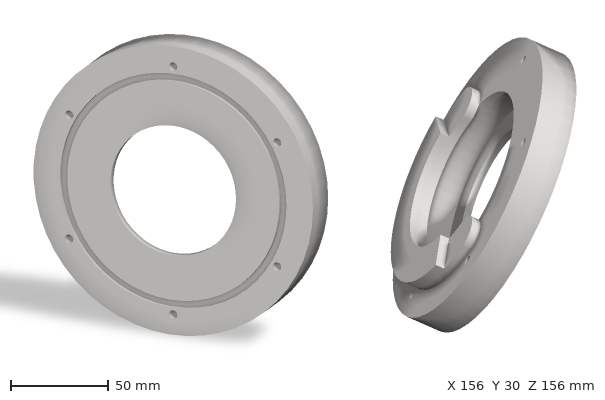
import cadquery as cq
import math

DISC_DIAMETER = 156.0
DISC_THICKNESS = 20.0
BORE_DIAMETER = 70.0
LIP_THICKNESS = 4.0
CAVITY_DIAMETER = 96.0

GROOVE_OUTER_DIAMETER = 126.4
GROOVE_INNER_DIAMETER = 118.4
GROOVE_DEPTH = 2.0

HOLE_DIAMETER = 4.5
HOLE_CIRCLE_DIAMETER = 134.0
HOLE_COUNT = 6
FIRST_HOLE_ANGLE = 90

RING_OUTER_DIAMETER = 125.0
RING_INNER_DIAMETER = 85.0
RING_HEIGHT = 10.0
LOW_STEP_HEIGHT = RING_HEIGHT / 2
LOW_END_ANGLE = 93.8
HIGH_END_ANGLE = 75.5

RING_OUTER_RADIUS = RING_OUTER_DIAMETER / 2
RING_INNER_RADIUS = RING_INNER_DIAMETER / 2
RING_WIDTH = RING_OUTER_RADIUS - RING_INNER_RADIUS
RING_MIDDLE_RADIUS = (RING_OUTER_RADIUS + RING_INNER_RADIUS) / 2


def plane_at(y):
    """XZ plane at the given Y, with local axes X and Z and extrusion toward +Y."""
    return cq.Workplane(cq.Plane(origin=(0, y, 0), xDir=(1, 0, 0), normal=(0, 1, 0)))


def polar(radius, angle):
    """Point at a radius and an angle in degrees from local +X."""
    return radius * math.cos(math.radians(angle)), radius * math.sin(math.radians(angle))


def make_housing():
    disc = plane_at(0).circle(DISC_DIAMETER / 2).extrude(DISC_THICKNESS)
    bore = plane_at(0).circle(BORE_DIAMETER / 2).extrude(DISC_THICKNESS)
    cavity_depth = DISC_THICKNESS - LIP_THICKNESS
    cavity = plane_at(LIP_THICKNESS).circle(CAVITY_DIAMETER / 2).extrude(cavity_depth)
    groove = (
        plane_at(0)
        .circle(GROOVE_OUTER_DIAMETER / 2)
        .circle(GROOVE_INNER_DIAMETER / 2)
        .extrude(GROOVE_DEPTH)
    )
    holes = (
        plane_at(0)
        .polarArray(HOLE_CIRCLE_DIAMETER / 2, FIRST_HOLE_ANGLE, 360, HOLE_COUNT)
        .circle(HOLE_DIAMETER / 2)
        .extrude(DISC_THICKNESS)
    )
    return disc.cut(bore).cut(cavity).cut(groove).cut(holes)


def ring_sector(y, height, end_angle, rounded_ends):
    """Ring segment from -end_angle to +end_angle, with rounded or flat radial ends."""
    outer_start = polar(RING_OUTER_RADIUS, -end_angle)
    outer_end = polar(RING_OUTER_RADIUS, end_angle)
    inner_start = polar(RING_INNER_RADIUS, -end_angle)
    inner_end = polar(RING_INNER_RADIUS, end_angle)
    outer_middle = (RING_OUTER_RADIUS, 0)
    inner_middle = (RING_INNER_RADIUS, 0)

    outline = plane_at(y).moveTo(*outer_start).threePointArc(outer_middle, outer_end)
    if rounded_ends:
        center_x, center_z = polar(RING_MIDDLE_RADIUS, end_angle)
        bulge_x, bulge_z = polar(RING_WIDTH / 2, end_angle + 90)
        tip_x = center_x + bulge_x
        tip_z = center_z + bulge_z
        outline = outline.threePointArc((tip_x, tip_z), inner_end)
        outline = outline.threePointArc(inner_middle, inner_start)
        outline = outline.threePointArc((tip_x, -tip_z), outer_start)
    else:
        outline = outline.lineTo(*inner_end)
        outline = outline.threePointArc(inner_middle, inner_start)
    return outline.close().extrude(height)


def make_half_ring():
    low_step = ring_sector(DISC_THICKNESS, LOW_STEP_HEIGHT, LOW_END_ANGLE, True)
    high_step = ring_sector(DISC_THICKNESS, RING_HEIGHT, HIGH_END_ANGLE, False)
    return low_step.union(high_step)


housing = make_housing()
half_ring = make_half_ring()
result = cq.Compound.makeCompound([housing.val(), half_ring.val()])